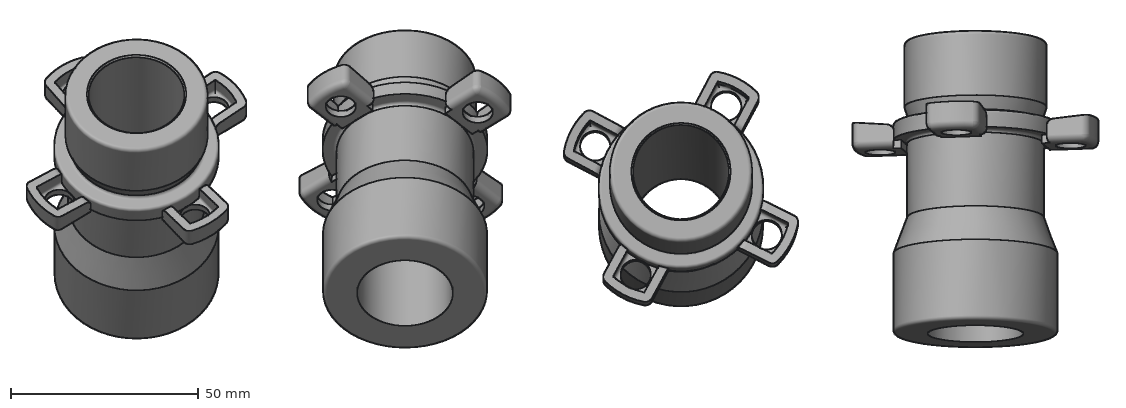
import cadquery as cq
import math

TOTAL_HEIGHT = 79.0
SOCKET_RADIUS = 21.95
SOCKET_TOP = 21.7
BARREL_RADIUS = 18.3
BARREL_BOTTOM = 31.4
NECK_RADIUS = 17.85
NECK_TOP = 57.8
SPIGOT_RADIUS = 19.0
SPIGOT_BOTTOM = 61.4
END_ROUND = 1.0
BORE_RADIUS = 12.8
BORE_CHAMFER = 0.5

COLLAR_RADIUS = 22.0
COLLAR_BOTTOM = 52.3
COLLAR_TOP = 56.95
COLLAR_EDGE_ROUND = 0.8
COLLAR_ROOT_ROUND = 0.9
SHOULDER_Z = COLLAR_BOTTOM - COLLAR_ROOT_ROUND

LUG_COUNT = 4
LUG_SPAN = 66.3
LUG_WIDTH = 14.45
LUG_REACH = LUG_SPAN / 2
LUG_HALF_WIDTH = LUG_WIDTH / 2
LUG_NOSE_RADIUS = 19.75
LUG_CORNER_ROUND = 2.0
LUG_BOTTOM = 50.1
LUG_BOTTOM_ROUND = 1.8
LUG_TOP = 57.3
LUG_TOP_SLOPE = 5.0
LUG_SHOULDER_X = 22.9
LUG_SHOULDER_ROUND = 2.2
LUG_WALL = 2.5
FLOOR_ROUND = 0.8
HOLE_X = 25.9
HOLE_RADIUS = 4.0
TONGUE_END_X = 19.2
TONGUE_HALF_WIDTH = LUG_HALF_WIDTH - LUG_BOTTOM_ROUND


def make_pipe():
    """Stepped tube: socket, cone, barrel, neck and spigot on one axis."""
    outline = [
        (BORE_RADIUS, 0),
        (SOCKET_RADIUS, 0),
        (SOCKET_RADIUS, SOCKET_TOP),
        (BARREL_RADIUS, BARREL_BOTTOM),
        (BARREL_RADIUS, SHOULDER_Z),
        (NECK_RADIUS, SHOULDER_Z),
        (NECK_RADIUS, NECK_TOP),
        (SPIGOT_RADIUS, SPIGOT_BOTTOM),
        (SPIGOT_RADIUS, TOTAL_HEIGHT),
        (BORE_RADIUS, TOTAL_HEIGHT),
    ]
    pipe = cq.Workplane("XZ").polyline(outline).close().revolve(360, (0, 0), (0, 1))
    outer_rims = cq.selectors.RadiusNthSelector(-1)
    bore_rim = cq.selectors.RadiusNthSelector(0)
    pipe = pipe.faces("<Z").edges(outer_rims).fillet(END_ROUND)
    pipe = pipe.faces(">Z").edges(outer_rims).fillet(END_ROUND)
    return pipe.faces(">Z").edges(bore_rim).chamfer(BORE_CHAMFER)


def make_collar():
    """Flange with a rounded top edge and a hollow round at the root of each face."""
    root_mid = COLLAR_ROOT_ROUND * (1 - math.sqrt(0.5))
    edge_mid = COLLAR_EDGE_ROUND * (1 - math.sqrt(0.5))
    return (
        cq.Workplane("XZ")
        .moveTo(NECK_RADIUS, SHOULDER_Z)
        .lineTo(BARREL_RADIUS, SHOULDER_Z)
        .threePointArc(
            (BARREL_RADIUS + root_mid, COLLAR_BOTTOM - root_mid),
            (BARREL_RADIUS + COLLAR_ROOT_ROUND, COLLAR_BOTTOM),
        )
        .lineTo(COLLAR_RADIUS, COLLAR_BOTTOM)
        .lineTo(COLLAR_RADIUS, COLLAR_TOP - COLLAR_EDGE_ROUND)
        .threePointArc(
            (COLLAR_RADIUS - edge_mid, COLLAR_TOP - edge_mid),
            (COLLAR_RADIUS - COLLAR_EDGE_ROUND, COLLAR_TOP),
        )
        .lineTo(NECK_RADIUS + COLLAR_ROOT_ROUND, COLLAR_TOP)
        .threePointArc(
            (NECK_RADIUS + root_mid, COLLAR_TOP + root_mid),
            (NECK_RADIUS, COLLAR_TOP + COLLAR_ROOT_ROUND),
        )
        .close()
        .revolve(360, (0, 0), (0, 1))
    )


def nosed_prism(reach, half_width, nose_radius, bottom, top):
    """Upright block from the Z axis out along +X, ending in an arc-shaped nose."""
    corner_x = reach - nose_radius + math.sqrt(nose_radius**2 - half_width**2)
    return (
        cq.Workplane("XY")
        .workplane(offset=bottom)
        .moveTo(0, -half_width)
        .lineTo(corner_x, -half_width)
        .threePointArc((reach, 0), (corner_x, half_width))
        .lineTo(0, half_width)
        .close()
        .extrude(top - bottom)
    )


def lug_side_profile():
    """Side shape of a lug: the top slopes down toward the collar, then rounds over."""
    slope = math.tan(math.radians(LUG_TOP_SLOPE))
    inner_x = LUG_SHOULDER_X - LUG_SHOULDER_ROUND
    inner_top = LUG_TOP - slope * (LUG_REACH - inner_x)
    profile = (
        cq.Workplane("XZ")
        .moveTo(inner_x, LUG_BOTTOM)
        .lineTo(LUG_REACH, LUG_BOTTOM)
        .lineTo(LUG_REACH, LUG_TOP)
        .lineTo(inner_x, inner_top)
        .close()
        .extrude(LUG_HALF_WIDTH, both=True)
    )
    return profile.edges("|Y").edges("<X").edges(">Z").fillet(LUG_SHOULDER_ROUND)


def make_lug():
    """Lug on the +X side: frame, pocket, drilled floor and a tongue under the collar."""
    frame = nosed_prism(LUG_REACH, LUG_HALF_WIDTH, LUG_NOSE_RADIUS, LUG_BOTTOM, LUG_TOP)
    frame = frame.edges("|Z").edges(">X").fillet(LUG_CORNER_ROUND)
    frame = frame.faces("<Z").edges("not <X").fillet(LUG_BOTTOM_ROUND)
    frame = frame.intersect(lug_side_profile())

    pocket = nosed_prism(
        LUG_REACH - LUG_WALL,
        LUG_HALF_WIDTH - LUG_WALL,
        LUG_NOSE_RADIUS - LUG_WALL,
        COLLAR_BOTTOM,
        LUG_TOP,
    )
    pocket = pocket.faces("<Z").edges("not <X").fillet(FLOOR_ROUND)

    collar_space = cq.Workplane("XY").workplane(offset=LUG_BOTTOM).circle(COLLAR_RADIUS)
    collar_space = collar_space.extrude(LUG_TOP - LUG_BOTTOM)

    tongue = cq.Workplane("XY").box(
        HOLE_X - TONGUE_END_X,
        2 * TONGUE_HALF_WIDTH,
        COLLAR_BOTTOM - LUG_BOTTOM,
        centered=(False, True, False),
    )
    tongue = tongue.translate((TONGUE_END_X, 0, LUG_BOTTOM))

    hole = cq.Workplane("XY").workplane(offset=LUG_BOTTOM).center(HOLE_X, 0).circle(HOLE_RADIUS)
    hole = hole.extrude(LUG_TOP - LUG_BOTTOM)
    return frame.cut(pocket).cut(collar_space).union(tongue).cut(hole)


pipe = make_pipe()
collar = make_collar()
lug = make_lug()
lugs = [lug.rotate((0, 0, 0), (0, 0, 1), i * 360 / LUG_COUNT) for i in range(LUG_COUNT)]

result = cq.Compound.makeCompound([pipe.val(), collar.val(), *[copy.val() for copy in lugs]])